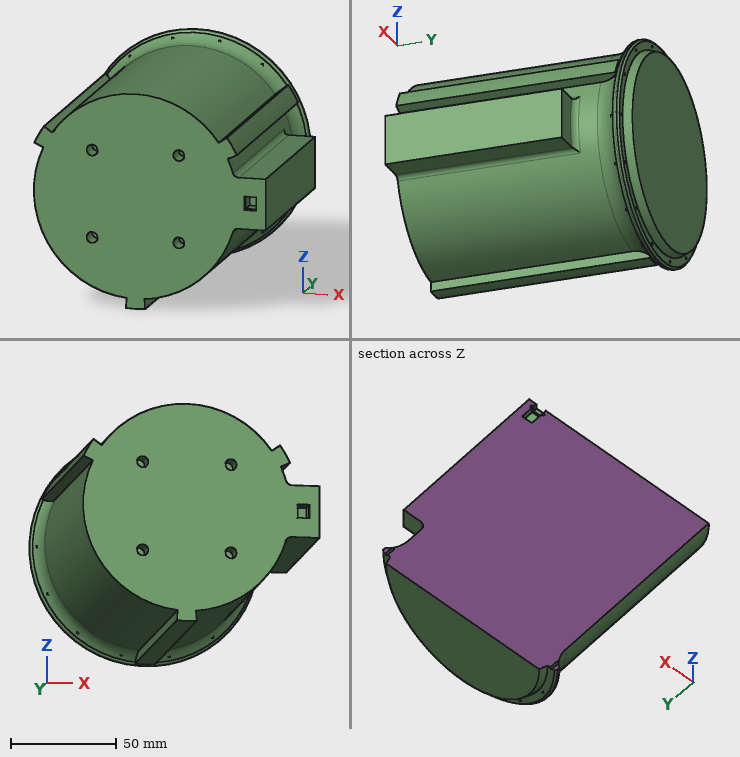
import cadquery as cq
import math

total_length = 119.91
rim_front = 112.0
rim_back = 115.6
flare_start = 102.5

body_radius = 50.0
rim_radius = 110.59 / 2
rim_back_chamfer = 1.1
rim_round_run = 1.5
rim_round_rise = 1.2
tip_radius = 97.0 / 2

rib_angles = (30, 150, 270)
rib_spread = 10.0
rib_length = 111.6
rib_radius = 54.9

total_width = 119.3
bar_right = total_width - rim_radius
bar_width = 25.0
bar_center_z = -0.1
bar_length = 90.0
bar_fillet = 3.0

pocket_width = 5.9
pocket_height = 6.6
pocket_depth = 10.0
pocket_center_x = 56.4
groove_front = 2.1
groove_width = 1.0
groove_depth = 1.2

mount_hole_diameter = 5.31
mount_hole_depth = 10.0
mount_hole_pitch = 42.6

pin_count = 14
pin_diameter = 1.0
pin_circle_radius = 52.15
pin_front = 110.5


def curve_midpoint(start, end):
    """Point halfway along an arc that leaves start parallel to the axis and reaches end."""
    run = end[1] - start[1]
    rise = end[0] - start[0]
    arc_radius = (run**2 + rise**2) / (2 * rise)
    half_angle = math.atan(rise / run)
    return (
        start[0] + arc_radius * (1 - math.cos(half_angle)),
        start[1] + arc_radius * math.sin(half_angle),
    )


def make_body():
    """Cylinder, flare, rim and tapered spigot, turned about the Y axis."""
    flare_base = (body_radius, flare_start)
    flare_end = (rim_radius - rim_round_rise, rim_front)
    round_start = (rim_radius, rim_front + rim_round_run)
    profile = (
        cq.Workplane("XY")
        .lineTo(body_radius, 0)
        .lineTo(*flare_base)
        .threePointArc(curve_midpoint(flare_base, flare_end), flare_end)
        .threePointArc(curve_midpoint(round_start, flare_end), round_start)
        .lineTo(rim_radius, rim_back - rim_back_chamfer)
        .lineTo(rim_radius - rim_back_chamfer, rim_back)
        .lineTo(body_radius, rim_back)
        .lineTo(tip_radius, total_length)
        .lineTo(0, total_length)
        .close()
    )
    return profile.revolve(360, (0, 0, 0), (0, 1, 0))


def front_plane():
    """Workplane on the front face: local x is X, local y is Z, and extrusion goes toward -Y."""
    return cq.Workplane("XZ")


def make_rib(angle):
    """Wedge whose sides run radially from the axis."""

    def rim_point(offset):
        turn = math.radians(angle + offset)
        return (rib_radius * math.cos(turn), rib_radius * math.sin(turn))

    half = rib_spread / 2
    return (
        front_plane()
        .lineTo(*rim_point(-half))
        .threePointArc(rim_point(0), rim_point(half))
        .close()
        .extrude(-rib_length)
    )


def add_bar(part):
    """Join the side bar to the body and fillet the joint along both sides and across its end."""
    bar = (
        front_plane()
        .center(bar_right / 2, bar_center_z)
        .rect(bar_right, bar_width)
        .extrude(-bar_length)
    )
    joint_x = math.sqrt(body_radius**2 - (bar_width / 2) ** 2)
    margin = 1.0
    joint_box = cq.selectors.BoxSelector(
        (joint_x - margin, margin, -bar_width),
        (body_radius + margin, bar_length + margin, bar_width),
    )
    return part.union(bar).edges(joint_box).fillet(bar_fillet)


def make_pocket():
    """Rectangular pocket in the front of the bar, with a wider groove all round a little way in."""
    pocket = (
        front_plane()
        .center(pocket_center_x, 0)
        .rect(pocket_width, pocket_height)
        .extrude(-pocket_depth)
    )
    groove = (
        cq.Workplane("XZ", origin=(pocket_center_x, groove_front, 0))
        .rect(pocket_width + 2 * groove_depth, pocket_height + 2 * groove_depth)
        .extrude(-groove_width)
    )
    return pocket.union(groove)


def make_mount_holes():
    """Four blind holes at the corners of a square on the front face."""
    return (
        front_plane()
        .rect(mount_hole_pitch, mount_hole_pitch, forConstruction=True)
        .vertices()
        .circle(mount_hole_diameter / 2)
        .extrude(-mount_hole_depth)
    )


def make_pin_holes():
    """Ring of small holes that run forward from the back of the rim."""
    return (
        cq.Workplane("XZ", origin=(0, pin_front, 0))
        .polarArray(pin_circle_radius, 180, 360, pin_count)
        .circle(pin_diameter / 2)
        .extrude(pin_front - rim_back)
    )


result = add_bar(make_body())
for rib_angle in rib_angles:
    result = result.union(make_rib(rib_angle))
result = result.cut(make_pocket()).cut(make_mount_holes()).cut(make_pin_holes())